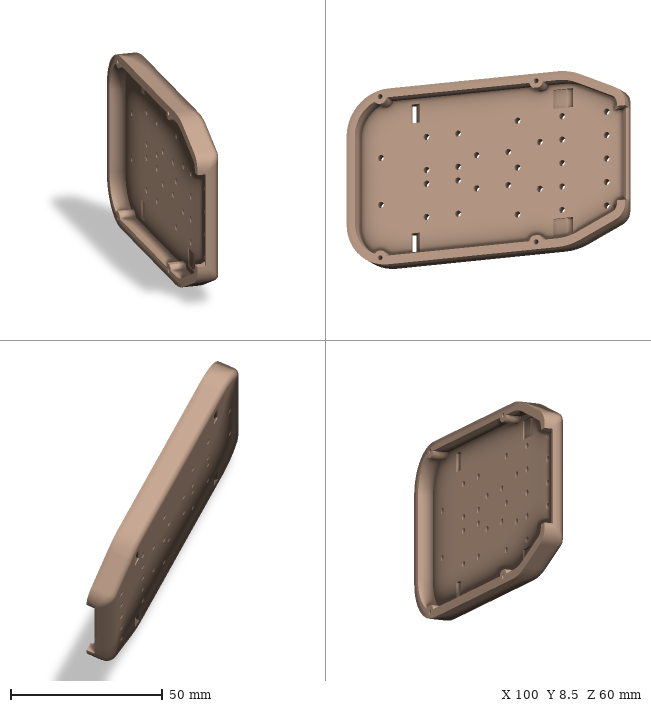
import cadquery as cq
import math

length = 100.0
height = 60.0
depth = 8.5
wall = 3.0
floor_y = depth - wall
half_length = length / 2
half_height = height / 2

taper_start_x = 30.0
taper_end_z = 21.0
square_corner_radius = 15.0
taper_shoulder_radius = 20.0
taper_corner_radius = 6.0

end_radius = 5.0
side_radius = 2.0
cavity_end_radius = end_radius - wall

square_end_boss_x = -38.0
taper_end_boss_x = 18.0
boss_z = 27.5
boss_radius = 2.5
boss_points = [(x, z) for x in (square_end_boss_x, taper_end_boss_x) for z in (-boss_z, boss_z)]
screw_hole_diameter = 1.7

floor_hole_diameter = 2.1
square_pattern_radius = 8.0
square_pattern_centers = ((-18, 8), (-18, -8), (0, 0))
single_holes = [(-40, 8), (-40, -8), (17, 8), (17, -8)]
single_holes += [(9, z) for z in (-16, 0, 16)]
single_holes += [(x, z) for x in (25, 41) for z in (-16, -8, 0, 8, 16)]

slot_z = 22.0
slot_width = 6.4
slot_outer_x = 29.0
slot_throat_x = 28.0
slot_lip = 1.0
slot_slope = wall - slot_lip
tongue_start_x = 22.0
tongue_recess = 0.5

window_half_height = 16.1
sill_y = 3.0
sill_edge_x = 49.0
sill_fillet_radius = 2.0
rib_thickness = 1.5
rib_foot_x = 43.6


def block(x_min, x_max, y_min, y_max, z_min, z_max):
    size = (x_max - x_min, y_max - y_min, z_max - z_min)
    return cq.Workplane("XY").box(*size, centered=False).translate((x_min, y_min, z_min))


def prism_along_z(points, z_min, z_max):
    return cq.Workplane("XY").workplane(offset=z_min).polyline(points).close().extrude(z_max - z_min)


def cylinders_along_y(points, diameter, y_min, y_max):
    plane = cq.Workplane("XZ", origin=(0, y_max, 0))
    return plane.pushPoints(points).circle(diameter / 2).extrude(y_max - y_min)


def outline_prism(inset, y_max):
    """Tray outline moved inwards by inset, from the front face to y_max."""
    upper = [(half_length, taper_end_z), (taper_start_x, half_height), (-half_length, half_height)]
    lower = [(x, -z) for x, z in reversed(upper)]
    sketch = cq.Workplane("XZ", origin=(0, y_max, 0)).polyline(upper + lower).close()
    if inset:
        sketch = sketch.offset2D(-inset, "intersection")
    corner_radii = (
        (-half_length, square_corner_radius),
        (taper_start_x, taper_shoulder_radius),
        (half_length, taper_corner_radius),
    )
    prism = sketch.extrude(y_max)
    reach = 1.5 * wall
    for corner_x, radius in corner_radii:
        near_corner = cq.selectors.BoxSelector(
            (corner_x - reach, 0, -height), (corner_x + reach, depth, height)
        )
        prism = prism.edges("|Y").edges(near_corner).fillet(radius - inset)
    return prism


def make_shell():
    """Solid body with rounded ends, then a smaller rounding along the back of its side walls."""
    end_profile = block(-half_length, half_length, 0, depth, -half_height, half_height)
    end_profile = end_profile.edges("|Z and >Y").fillet(end_radius)
    body = outline_prism(0, depth).intersect(end_profile)
    back_rim = body.edges("not(|Y or |Z)").filter(lambda edge: edge.Center().y > depth / 2)
    return back_rim.fillet(side_radius)


def make_cavity():
    """Inside of the tray, leaving solid stock where the window and its sill are cut later."""
    end_profile = block(-half_length, half_length - wall, 0, floor_y, -half_height, half_height)
    end_profile = end_profile.edges("|Z and >Y and >X").fillet(cavity_end_radius)
    sill_stock = block(rib_foot_x, half_length, 0, floor_y, -window_half_height, window_half_height)
    return outline_prism(wall, floor_y).intersect(end_profile).cut(sill_stock)


def make_floor_holes():
    """Single holes plus patterns of four holes on a circle, at 45 degrees."""
    offset = square_pattern_radius * math.sqrt(0.5)
    points = list(single_holes)
    for x, z in square_pattern_centers:
        points += [(x + sx * offset, z + sz * offset) for sx in (-1, 1) for sz in (-1, 1)]
    return cylinders_along_y(points, floor_hole_diameter, floor_y, depth)


def make_slot(z):
    """Pair of hook slots at one height, the +X one with a recessed tongue."""
    z_min = z - slot_width / 2
    z_max = z + slot_width / 2
    section = [
        (slot_throat_x - slot_slope, floor_y),
        (slot_throat_x, floor_y + slot_slope),
        (slot_throat_x, depth),
        (slot_outer_x + slot_slope, depth),
        (slot_outer_x, floor_y + slot_lip),
        (slot_outer_x, floor_y),
    ]
    right = prism_along_z(section, z_min, z_max)
    left = right.mirror("YZ")
    recess = block(tongue_start_x, slot_outer_x, floor_y, floor_y + tongue_recess, z_min, z_max)
    return right.union(recess).union(left)


def make_rib(z_min):
    """Triangular gusset, sloped at 45 degrees, against the tapered end wall."""
    wall_x = half_length - wall / 2
    inner_x = half_length - wall
    top_y = floor_y - (inner_x - rib_foot_x)
    section = [(rib_foot_x, floor_y), (inner_x, top_y), (wall_x, top_y), (wall_x, floor_y)]
    return prism_along_z(section, z_min, z_min + rib_thickness)


def make_window():
    """Opening cut from the front edge of the wall down to a ledge and a 45 degree sill."""
    sill_foot_x = sill_edge_x - (floor_y - sill_y)
    section = [
        (rib_foot_x, 0),
        (half_length, 0),
        (half_length, sill_y),
        (sill_edge_x, sill_y),
        (sill_foot_x, floor_y),
        (rib_foot_x, floor_y),
    ]
    window = prism_along_z(section, -window_half_height, window_half_height)
    sill_foot = cq.selectors.NearestToPointSelector((sill_foot_x, floor_y, 0))
    return window.edges("|Z").edges(sill_foot).fillet(sill_fillet_radius)


def make_bosses():
    """Round bosses; the pair beside the +X slots is cut flat in line with the slot edges."""
    bosses = cylinders_along_y(boss_points, 2 * boss_radius, 0, floor_y)
    flat_z = slot_z + slot_width / 2
    reach = 2 * boss_radius
    trim = block(taper_end_boss_x - reach, taper_end_boss_x + reach, 0, floor_y, -flat_z, flat_z)
    return bosses.cut(trim)


shell = make_shell()
result = shell.cut(make_cavity()).union(make_bosses().intersect(shell))
result = result.cut(cylinders_along_y(boss_points, screw_hole_diameter, 0, floor_y))
for rib_z in (window_half_height, -window_half_height - rib_thickness):
    result = result.union(make_rib(rib_z))
result = result.cut(make_window())
result = result.cut(make_floor_holes())
for side in (-1, 1):
    result = result.cut(make_slot(side * slot_z))